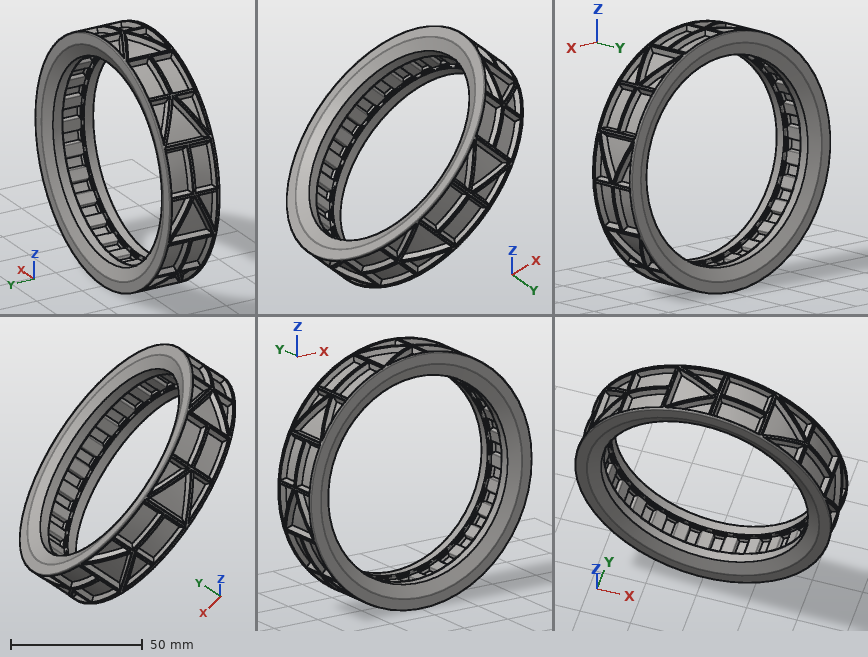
import cadquery as cq
import math

outer_radius = 50.8
width = 22.3
bore_radius = 82.2 / 2
mouth_radius = 46.1
mouth_depth = 2.2
edge_round = 0.3
mouth_round = 0.8

channel_depth = 2.3
rim_width = 1.2
wall_draft = math.radians(22)
rib_half_top = 0.6
edge_break = 0.2
cross_rib_count = 16
rib_phase = 3.6
root_overlap = 0.5
tip_overlap = 0.1
diagonal_reach = 10.5
apex_offset = 0.3
diagonal_sections = 5

groove_radius = 85.4 / 2
groove_half_width = 4.4
groove_lip_round = 0.4
pocket_count = 28
pocket_depth = 1.3
pocket_half_width = 4.1
land_round = 0.2

tolerance = 0.001

half_width = width / 2
floor_radius = outer_radius - channel_depth
rib_pitch = 360 / cross_rib_count
channel_half_top = half_width - rim_width
draft_slope = math.tan(wall_draft)
blank_radius = outer_radius + tip_overlap
bevel_slope = (1 + math.sin(wall_draft)) / math.cos(wall_draft)
bevel_radius = outer_radius - edge_break * math.cos(wall_draft)


def turned(shape, degrees):
    return shape.rotate((0, 0, 0), (0, 1, 0), degrees)


def cylinder(radius, length):
    return cq.Workplane("XZ").circle(radius).extrude(length / 2, both=True)


def wall_setback(radius):
    """Distance a drafted and bevelled wall has moved from its sharp edge on the outer cylinder."""
    if radius > bevel_radius:
        return (outer_radius - radius) * bevel_slope - edge_break
    return (outer_radius - radius) * draft_slope


def rib_section(plane, widening=1.0, offset=0.0):
    """Tapered rib section; the plane's local y axis points radially outward."""
    levels = (floor_radius - root_overlap, bevel_radius, blank_radius)
    right = [((rib_half_top + wall_setback(r)) * widening, r) for r in levels]
    left = [(-x, r) for x, r in reversed(right)]
    points = [(offset + x, r) for x, r in right + left]
    return cq.Workplane(plane).polyline(points).close()


def edges_on_radius(body, radius, half_band):
    """Edges lying on a cylinder about Y and no further than half_band from the mid-plane."""
    found = []
    for edge in body.edges().vals():
        points = [edge.positionAt(t) for t in (0, 0.3, 0.7)]
        if all(abs(math.hypot(p.x, p.z) - radius) < tolerance and abs(p.y) < half_band for p in points):
            found.append(edge)
    return body.newObject(found)


def make_ring():
    upper = [
        (groove_radius, groove_half_width),
        (bore_radius, groove_half_width),
        (bore_radius, half_width - mouth_depth),
        (mouth_radius, half_width),
        (blank_radius, half_width),
    ]
    for radius in (blank_radius, bevel_radius, floor_radius):
        upper.append((radius, channel_half_top - wall_setback(radius)))
    lower = [(r, -y) for r, y in reversed(upper)]
    ring = cq.Workplane("XY").polyline(upper + lower).close().revolve(360, (0, 0, 0), (0, 1, 0))
    ring = edges_on_radius(ring, mouth_radius, width).fillet(mouth_round)
    return edges_on_radius(ring, bore_radius, groove_half_width + tolerance).fillet(groove_lip_round)


def make_cross_rib():
    return rib_section("XZ").extrude(channel_half_top, both=True)


def make_center_rib():
    """Circumferential rib along the mid-plane, one pitch long, starting at +Z."""
    section = rib_section(cq.Plane((0, 0, 0), xDir=(0, 1, 0), normal=(1, 0, 0)))
    return section.revolve(rib_pitch, (0, 0, 0), (1, 0, 0))


def make_diagonal_rib(side):
    """Twisted rib from the rim at the base rib, at +Z, to the mid-plane one pitch further on."""
    run = outer_radius * math.radians(rib_pitch)
    widening = math.hypot(run, diagonal_reach - apex_offset) / run
    wires = []
    for i in range(diagonal_sections):
        fraction = i / (diagonal_sections - 1)
        angle = math.radians(rib_pitch * fraction)
        plane = cq.Plane((0, 0, 0), xDir=(0, 1, 0), normal=(math.cos(angle), 0, -math.sin(angle)))
        offset = side * (diagonal_reach + (apex_offset - diagonal_reach) * fraction)
        wires.append(rib_section(plane, widening, offset).wire().val())
    return cq.Workplane(cq.Solid.makeLoft(wires))


def make_rib_module():
    """Apex rib, the center rib after it, and the base rib and chevron before it."""
    base = make_cross_rib().union(make_diagonal_rib(1)).union(make_diagonal_rib(-1))
    module = turned(base, -rib_pitch).union(make_cross_rib()).union(make_center_rib())
    return module


def add_ribs(ring):
    module = make_rib_module()
    for i in range(cross_rib_count // 2):
        ring = ring.union(turned(module, rib_phase + 2 * rib_pitch * i))
    return ring


def make_bore_pocket():
    """Cutter along +Z whose walls draw in towards the pocket floor."""
    base_radius = groove_radius - pocket_depth
    half_angle = math.radians(90 / pocket_count)
    half_length = groove_radius * math.sin(half_angle)
    spread = pocket_depth * draft_slope
    blank = cq.Workplane("XY", origin=(0, 0, base_radius))
    blank = blank.rect(2 * (half_length + spread), 2 * (pocket_half_width + spread))
    cutter = blank.extrude(3 * pocket_depth, taper=math.degrees(wall_draft))
    return cutter.intersect(cylinder(groove_radius + pocket_depth, width))


def cut_bore_pockets(ring):
    pocket = make_bore_pocket()
    pocket_pitch = 360 / pocket_count
    pockets = [turned(pocket, rib_phase + pocket_pitch * (i + 0.5)).val() for i in range(pocket_count)]
    ring = ring.cut(cq.Workplane(cq.Compound.makeCompound(pockets)))
    mouth_band = (pocket_half_width + groove_half_width) / 2
    return edges_on_radius(ring, groove_radius, mouth_band).fillet(land_round)


def trim(ring):
    return ring.intersect(cylinder(outer_radius, width).edges().fillet(edge_round))


result = make_ring()
result = cut_bore_pockets(result)
result = add_ribs(result)
result = trim(result)